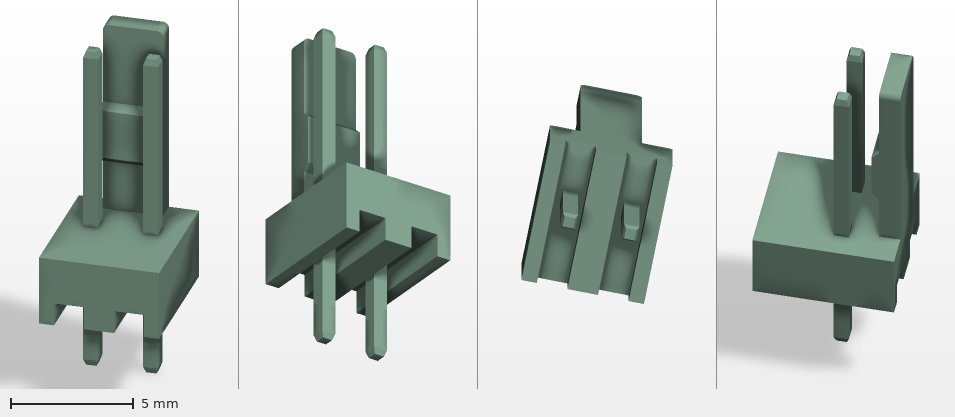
import cadquery as cq

total_height = 14.7
pitch = 2.55
pin_count = 2

body_width = pin_count * pitch
body_depth = 5.9
body_bottom = 3.31
body_height = 3.0
body_top = body_bottom + body_height

slot_width = pitch / 2
slot_height = 1.0

pin_size = 0.63
pin_tip_size = 0.44
pin_tip_height = 0.28
pin_top = 14.29
pin_to_back = 2.4

tab_width = pitch
tab_thickness = 0.9
tab_corner = 0.25
bump_height = 0.31
bump_bottom = 8.5
bump_top = 11.19
bump_slope = 0.28

back_y = body_depth / 2
pin_y = back_y - pin_to_back
pin_xs = [(i - (pin_count - 1) / 2) * pitch for i in range(pin_count)]


def make_body():
    """Rectangular housing with front-to-back slots in its underside."""
    body = cq.Workplane("XY").box(body_width, body_depth, body_height, centered=(True, True, False))
    slot = cq.Workplane("XY").box(slot_width, body_depth, slot_height, centered=(True, True, False))
    for x in pin_xs:
        body = body.cut(slot.translate((x, 0, 0)))
    return body.translate((0, 0, body_bottom))


def make_tip(x, z_wide, z_narrow):
    """Pyramid frustum between the full pin section and its small end."""
    return (
        cq.Workplane("XY", origin=(x, pin_y, z_wide))
        .rect(pin_size, pin_size)
        .workplane(offset=z_narrow - z_wide)
        .rect(pin_tip_size, pin_tip_size)
        .loft(ruled=True)
    )


def make_pin(x):
    """Square pin running through the housing, tapered at both ends."""
    shaft_length = pin_top - 2 * pin_tip_height
    shaft = (
        cq.Workplane("XY", origin=(x, pin_y, pin_tip_height))
        .rect(pin_size, pin_size)
        .extrude(shaft_length)
    )
    lower_tip = make_tip(x, pin_tip_height, 0)
    upper_tip = make_tip(x, pin_top - pin_tip_height, pin_top)
    return shaft.union(lower_tip).union(upper_tip)


def make_tab():
    """Upright tab with rounded top corners and a sloped latch bump facing the pins."""
    face_y = back_y - tab_thickness
    bump_y = face_y - bump_height
    profile = [
        (back_y, body_top),
        (back_y, total_height),
        (face_y, total_height),
        (face_y, bump_top),
        (bump_y, bump_top - bump_slope),
        (bump_y, bump_bottom + bump_slope),
        (face_y, bump_bottom),
        (face_y, body_top),
    ]
    tab = cq.Workplane("YZ").polyline(profile).close().extrude(tab_width / 2, both=True)
    return tab.edges("|Y and >Z").fillet(tab_corner)


result = make_body().union(make_tab())
for pin_x in pin_xs:
    result = result.union(make_pin(pin_x))